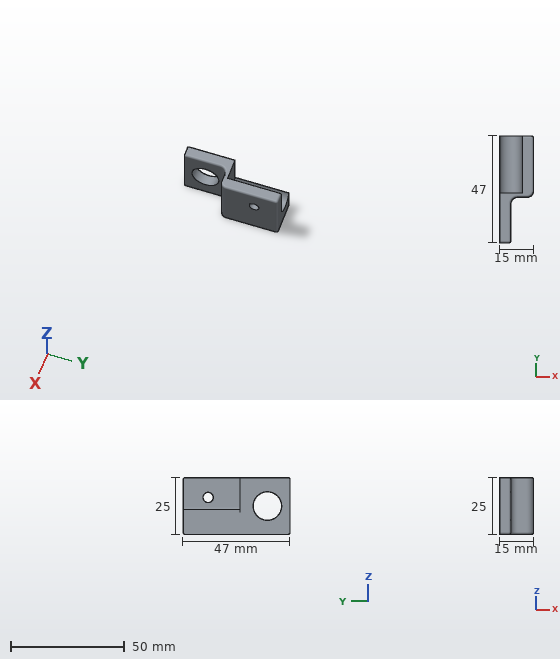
import cadquery as cq

length = 47.0
height = 25.0
head_thickness = 15.0
plate_thickness = 5.0
step_y = 20.0
bend_radius = 3.0
edge_radius = 1.0

seat_start_y = 22.0
seat_radius = 5.0
seat_axis_z = 12.0
lip_z = 11.0

plate_hole_diameter = 12.4
plate_hole_y = 10.0
plate_hole_z = height / 2
head_hole_diameter = 4.4
head_hole_y = 36.0
head_hole_z = 16.25


def stepped_body():
    """Z-shaped plate with rounded bends, corners and back edges."""
    body = (
        cq.Workplane("XY")
        .moveTo(0, 0)
        .lineTo(plate_thickness, 0)
        .lineTo(plate_thickness, step_y)
        .lineTo(head_thickness, step_y)
        .lineTo(head_thickness, length)
        .lineTo(0, length)
        .close()
        .extrude(height)
    )
    for bend_x in (plate_thickness, head_thickness):
        bend_edge = cq.selectors.NearestToPointSelector((bend_x, step_y, height / 2))
        body = body.edges(bend_edge).fillet(bend_radius)
    body = body.faces("<Y or >Y").edges("|X").fillet(edge_radius)
    return body.faces(">X").edges(">Y").fillet(edge_radius)


def rod_seat():
    """Round-bottomed cutter with an open top and a lowered front lip."""
    seat_length = length - seat_start_y
    rod = (
        cq.Workplane("XZ", origin=(0, seat_start_y, 0))
        .center(seat_radius, seat_axis_z)
        .circle(seat_radius)
        .extrude(-seat_length)
    )
    opening = cq.Workplane("XY").box(
        2 * seat_radius, seat_length, height - seat_axis_z, centered=False
    ).translate((0, seat_start_y, seat_axis_z))
    lip_clearance = cq.Workplane("XY").box(
        seat_radius, seat_length, height - lip_z, centered=False
    ).translate((0, seat_start_y, lip_z))
    return rod.union(opening).union(lip_clearance)


def cross_hole(diameter, y, z):
    """Cutter for a hole passing through the full thickness along X."""
    return (
        cq.Workplane("YZ")
        .center(y, z)
        .circle(diameter / 2)
        .extrude(head_thickness)
    )


result = (
    stepped_body()
    .cut(rod_seat())
    .cut(cross_hole(plate_hole_diameter, plate_hole_y, plate_hole_z))
    .cut(cross_hole(head_hole_diameter, head_hole_y, head_hole_z))
)